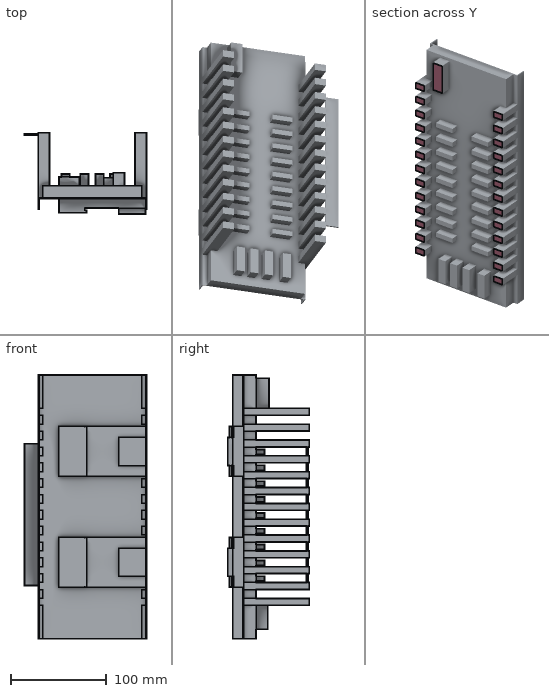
import cadquery as cq


LENGTH = 275.0
WIDTH = 113.0
SHEET = 1.0
FLANGE_DEPTH = 11.5
LEFT = -WIDTH / 2
RIGHT = WIDTH / 2

CLIP_HEIGHT = 52.0
CLIP_SPACING = 115.5
CLIP_START = LEFT + 21.7
CLIP_END = RIGHT - SHEET
CLIP_BASE_DEPTH = 10.5
HOOK_WALL_WIDTH = 27.0
HOOK_LIP_WIDTH = 29.0
HOOK_DEPTH = 15.5
LIP_THICKNESS = 2.8
LATCH_HEIGHT = 29.5
LATCH_WIDTH = 28.0
LATCH_DEPTH = 16.8

BLOCK_SIDE_MARGIN = 5.0
BLOCK_THICKNESS = 13.0

FINGER_COUNT = 13
FINGER_PITCH = 16.5
FINGER_WIDTH = 12.0
FINGER_HEIGHT = 7.5
FINGER_REACH = 68.2

STRIP_WIDTH = 14.3
STRIP_THICKNESS = 2.0
STRIP_SETBACK = 1.0
STRIP_LENGTH = 148.0
STRIP_CENTER_Z = -FINGER_PITCH / 2

PEG_COUNT = 9
PEG_WIDTH = 21.5
PEG_HEIGHT = 5.2
PEG_ROW_CENTER_Z = -8.8
PEG_COLUMNS = [(LEFT + 21.7, 22.0), (LEFT + 68.2, 21.2)]

CONNECTOR_START = LEFT + 78.0
CONNECTOR_WIDTH = 12.0
CONNECTOR_REACH = 26.5
CONNECTOR_TOP_MARGIN = 3.3
CONNECTOR_HEIGHT = 33.0

SOCKET_STARTS = [LEFT + 24.2, LEFT + 43.7, LEFT + 59.7, LEFT + 74.8]
SOCKET_WIDTH = 8.8
SOCKET_REACH = 25.0
SOCKET_BOTTOM_MARGIN = 10.0
SOCKET_HEIGHT = 27.5


def box(x_range, y_range, z_center, height):
    """Block spanning the X and Y ranges, centred at z_center along Z."""
    x_size = x_range[1] - x_range[0]
    y_size = y_range[1] - y_range[0]
    corner = (x_range[0], y_range[0], z_center - height / 2)
    return cq.Workplane("XY").box(x_size, y_size, height, centered=False).translate(corner)


def row_positions(count):
    """Z positions of a row at the finger pitch, centred on its own middle."""
    return [(i - (count - 1) / 2) * FINGER_PITCH for i in range(count)]


def make_clip(z_center):
    """Rail clip: base with an undercut hook on the left and a latch on the right."""
    wall_x = CLIP_START + HOOK_WALL_WIDTH
    lip_x = CLIP_START + HOOK_LIP_WIDTH
    lip_y = -HOOK_DEPTH + LIP_THICKNESS
    profile = [
        (CLIP_START, -SHEET),
        (CLIP_END, -SHEET),
        (CLIP_END, -CLIP_BASE_DEPTH),
        (wall_x, -CLIP_BASE_DEPTH),
        (wall_x, lip_y),
        (lip_x, lip_y),
        (lip_x, -HOOK_DEPTH),
        (CLIP_START, -HOOK_DEPTH),
    ]
    bottom = z_center - CLIP_HEIGHT / 2
    hook = cq.Workplane("XY").workplane(offset=bottom).polyline(profile).close().extrude(CLIP_HEIGHT)
    latch_x = (CLIP_END - LATCH_WIDTH, CLIP_END)
    latch = box(latch_x, (-LATCH_DEPTH, -CLIP_BASE_DEPTH), z_center, LATCH_HEIGHT)
    return hook.union(latch)


def make_mounting_plate():
    """Channel-shaped plate with its two rail clips."""
    plate = box((LEFT, RIGHT), (-SHEET, 0), 0, LENGTH)
    for start in (LEFT, RIGHT - SHEET):
        plate = plate.union(box((start, start + SHEET), (-FLANGE_DEPTH, 0), 0, LENGTH))
    for z_center in (-CLIP_SPACING / 2, CLIP_SPACING / 2):
        plate = plate.union(make_clip(z_center))
    return plate


def add_fingers(block):
    """Fingers along both sides, flush with the plate's outer edges."""
    for z_center in row_positions(FINGER_COUNT):
        for start in (LEFT, RIGHT - FINGER_WIDTH):
            finger_x = (start, start + FINGER_WIDTH)
            block = block.union(box(finger_x, (0, FINGER_REACH), z_center, FINGER_HEIGHT))
    return block


def add_label_strip(block):
    """Thin strip standing out from the left fingers near their tips."""
    back = FINGER_REACH - STRIP_SETBACK
    strip_y = (back - STRIP_THICKNESS, back)
    return block.union(box((LEFT - STRIP_WIDTH, LEFT), strip_y, STRIP_CENTER_Z, STRIP_LENGTH))


def add_pegs(block):
    """Both columns of pegs, spaced at the finger pitch."""
    for start, reach in PEG_COLUMNS:
        for offset in row_positions(PEG_COUNT):
            z_center = PEG_ROW_CENTER_Z + offset
            block = block.union(box((start, start + PEG_WIDTH), (0, reach), z_center, PEG_HEIGHT))
    return block


def add_connector(block):
    """Tall connector near the top edge."""
    z_center = LENGTH / 2 - CONNECTOR_TOP_MARGIN - CONNECTOR_HEIGHT / 2
    connector_x = (CONNECTOR_START, CONNECTOR_START + CONNECTOR_WIDTH)
    return block.union(box(connector_x, (0, CONNECTOR_REACH), z_center, CONNECTOR_HEIGHT))


def add_sockets(block):
    """Row of equal sockets near the bottom edge."""
    z_center = -LENGTH / 2 + SOCKET_BOTTOM_MARGIN + SOCKET_HEIGHT / 2
    for start in SOCKET_STARTS:
        socket_x = (start, start + SOCKET_WIDTH)
        block = block.union(box(socket_x, (0, SOCKET_REACH), z_center, SOCKET_HEIGHT))
    return block


def make_circuit_block():
    """Block with its fingers, label strip, pegs, connector and sockets."""
    block_x = (LEFT + BLOCK_SIDE_MARGIN, RIGHT - BLOCK_SIDE_MARGIN)
    block = box(block_x, (0, BLOCK_THICKNESS), 0, LENGTH)
    block = add_fingers(block)
    block = add_label_strip(block)
    block = add_pegs(block)
    block = add_connector(block)
    return add_sockets(block)


mounting_plate = make_mounting_plate()
circuit_block = make_circuit_block()

result = cq.Compound.makeCompound([mounting_plate.val(), circuit_block.val()])